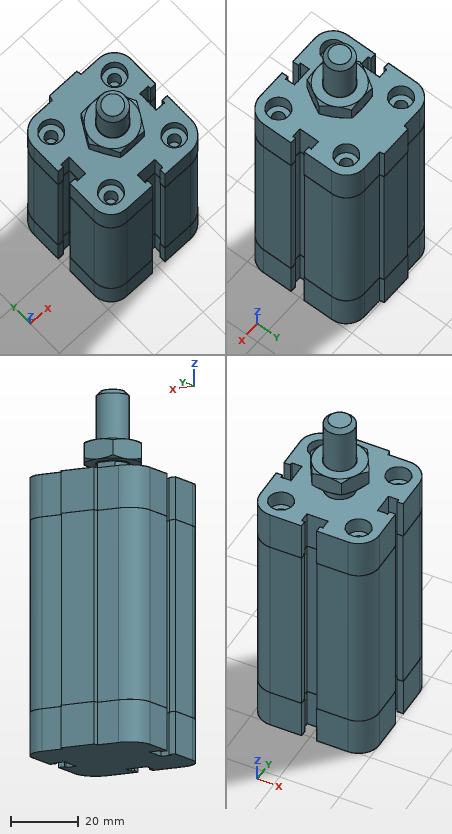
import cadquery as cq
import math

cap_width = 40.0
housing_height = 84.5
cap_length = 13.0
barrel_inset = 0.06
corner_radius = 7.0

rail_height = 1.6
rail_base_width = 11.9
rail_top_width = 11.2

slot_mouth_width = 5.0
slot_inner_width = 7.0
slot_lip = 2.1
slot_depth = 5.5
slot_angles = (-90, 0, 90)

mount_spacing = 26.0
mount_hole_diameter = 4.1
mount_hole_depth = cap_length
counterbore_diameter = 8.0
counterbore_depth = 5.0

total_height = 112.0
rod_diameter = 10.0
tip_chamfer = 1.5
neck_diameter = 9.9
collar_height = 1.9
collar_taper_height = 0.3
neck_top = 89.7
flats_bottom = 87.0
neck_across_flats = 8.0

nut_across_flats = 17.0
nut_thickness = 6.0
nut_top = 96.0
nut_chamfer_angle = 30.0
nut_bore_diameter = rod_diameter
nut_bore_chamfer = 0.2
nut_bottom = nut_top - nut_thickness


def rail_profile(inset, bottom, height):
    """Tapered rail reaching from the centre plane out past the +Y side."""
    side = cap_width / 2 - inset
    top = side + rail_height
    base = rail_base_width / 2 - inset
    tip = rail_top_width / 2 - inset
    outline = [(-base, 0), (-base, side), (-tip, top), (tip, top), (base, side), (base, 0)]
    return cq.Workplane("XY", origin=(0, 0, bottom)).polyline(outline).close().extrude(height)


def t_slot(inset, bottom, height):
    """T-slot cutter for the -Y side, running along Z."""
    side = -cap_width / 2
    mouth_width = slot_mouth_width + 2 * inset
    inner_width = slot_inner_width + 2 * inset
    inner_start = slot_lip - inset
    inner_depth = slot_depth + inset - inner_start
    centering = (True, False, False)
    mouth = (
        cq.Workplane("XY", origin=(0, side, bottom))
        .box(mouth_width, slot_depth, height, centered=centering)
    )
    inner = (
        cq.Workplane("XY", origin=(0, side + inner_start, bottom))
        .box(inner_width, inner_depth, height, centered=centering)
    )
    return mouth.union(inner)


def housing_section(inset, bottom, height):
    """One length of the housing profile, every face moved inward by inset."""
    width = cap_width - 2 * inset
    section = (
        cq.Workplane("XY", origin=(0, 0, bottom))
        .rect(width, width)
        .extrude(height)
        .edges("|Z")
        .fillet(corner_radius - inset)
        .union(rail_profile(inset, bottom, height))
    )
    slot = t_slot(inset, bottom, height)
    for angle in slot_angles:
        section = section.cut(slot.rotate((0, 0, 0), (0, 0, 1), angle))
    return section


def make_housing():
    """Bottom cap, barrel and top cap in one piece, with counterbored holes in the top cap."""
    barrel_length = housing_height - 2 * cap_length
    top_cap_bottom = cap_length + barrel_length
    bottom_cap = housing_section(0, 0, cap_length)
    barrel = housing_section(barrel_inset, cap_length, barrel_length)
    top_cap = housing_section(0, top_cap_bottom, cap_length)
    return (
        bottom_cap.union(barrel)
        .union(top_cap)
        .faces(">Z")
        .workplane(origin=(0, 0, housing_height))
        .rect(mount_spacing, mount_spacing, forConstruction=True)
        .vertices()
        .cboreHole(mount_hole_diameter, counterbore_diameter, counterbore_depth, mount_hole_depth)
    )


def make_rod():
    """Turned rod with two wrench flats, facing -Y and +Y, just below the nut."""
    radius = rod_diameter / 2
    neck_radius = neck_diameter / 2
    collar_top = housing_height + collar_height
    turned = (
        cq.Workplane("XZ")
        .moveTo(0, housing_height)
        .lineTo(radius, housing_height)
        .lineTo(radius, collar_top)
        .lineTo(neck_radius, collar_top + collar_taper_height)
        .lineTo(neck_radius, neck_top)
        .lineTo(radius, neck_top)
        .lineTo(radius, total_height - tip_chamfer)
        .lineTo(radius - tip_chamfer, total_height)
        .lineTo(0, total_height)
        .close()
        .revolve(360, (0, 0, 0), (0, 1, 0))
    )
    flat_length = nut_bottom - flats_bottom
    cutter_offset = (neck_across_flats + rod_diameter) / 2
    flat_cutters = (
        cq.Workplane("XY", origin=(0, 0, flats_bottom))
        .pushPoints([(0, -cutter_offset), (0, cutter_offset)])
        .rect(rod_diameter, rod_diameter)
        .extrude(flat_length)
    )
    return turned.cut(flat_cutters)


def make_nut():
    """Hexagon with corners on the X axis, both ends turned to a cone."""
    corner_reach = nut_across_flats / math.sqrt(3)
    face_radius = nut_across_flats / 2
    cone_drop = (corner_reach - face_radius) * math.tan(math.radians(nut_chamfer_angle))
    hexagon = (
        cq.Workplane("XY", origin=(0, 0, nut_bottom))
        .polygon(6, 2 * corner_reach)
        .extrude(nut_thickness)
    )
    turned_blank = (
        cq.Workplane("XZ")
        .moveTo(0, nut_bottom)
        .lineTo(face_radius, nut_bottom)
        .lineTo(corner_reach, nut_bottom + cone_drop)
        .lineTo(corner_reach, nut_top - cone_drop)
        .lineTo(face_radius, nut_top)
        .lineTo(0, nut_top)
        .close()
        .revolve(360, (0, 0, 0), (0, 1, 0))
    )
    bore = (
        cq.Workplane("XY", origin=(0, 0, nut_bottom))
        .circle(nut_bore_diameter / 2)
        .extrude(nut_thickness)
    )
    nut_body = hexagon.intersect(turned_blank).cut(bore)
    bore_rims = cq.selectors.RadiusNthSelector(0)
    return nut_body.edges("%CIRCLE").edges(bore_rims).chamfer(nut_bore_chamfer)


housing = make_housing()
rod = make_rod()
nut = make_nut()

result = cq.Compound.makeCompound([housing.val(), rod.val(), nut.val()])